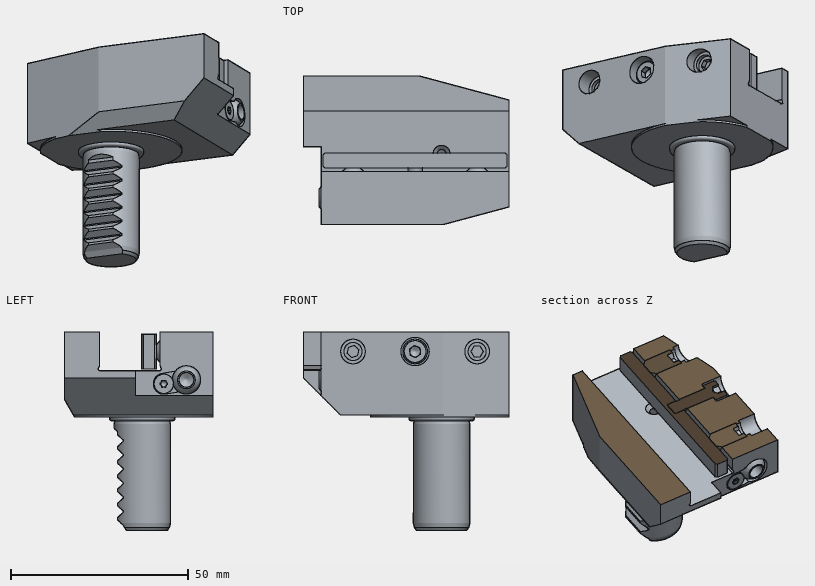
import cadquery as cq
import math


X_MIN = -39.0
X_MAX = 19.0
Y_MIN = -20.0
Y_MAX = 22.0
TOP_Z = 24.0
STEP_X = -34.0
STEP_Y = 2.0
TAPER_ANGLE = 15
TAPER_START_MIN_Y = 0.45
TAPER_START_MAX_Y = -6.3
SEAT_RADIUS = 20.0
SEAT_HEIGHT = 0.6
NOSE_CHAMFER_Z = 11.0
SIDE_CHAMFER_HEIGHT = 5.0
SIDE_CHAMFER_ANGLE = 30

SLOT_MIN_Y = -5.0
SLOT_MAX_Y = 12.0
FLOOR_Z = 13.1
UNDERCUT_DEPTH = 0.45
UNDERCUT_APEX_RISE = 0.35
UNDERCUT_TOP_RISE = 1.4
COOLANT_SINK_RADIUS = 2.4
COOLANT_HOLE_RADIUS = 1.2
COOLANT_HOLE_DEPTH = 3.5

SHANK_RADIUS = 8.0
SHANK_LENGTH = 32.0
NECK_RADIUS = 7.8
NECK_END_Z = -2.05
LEAD_TOP_Z = -29.9
LEAD_BOTTOM_Z = -31.15
LEAD_RADIUS = 7.7
TIP_RADIUS = 7.1
RACK_START_Z = -4.05
RACK_FLAT_Y = 7.0
VALLEY_Y = 5.4
FIRST_VALLEY_Z = -6.65
TOOTH_PITCH = 4.0
VALLEY_COUNT = 7
VALLEY_HALF_MOUTH = 1.7
VALLEY_HALF_ROOT = 0.2
RACK_END_Y = 4.45
RACK_CUT_MARGIN = 0.6

SEAL_RADIUS = 9.2
SEAL_HEIGHT = 1.05
SEAL_ROUNDING = 0.6

BAR_END_GAP = 0.5
BAR_THICKNESS = 4.2
BAR_GAP = 1.0
BAR_HEIGHT = 9.9
BAR_FLOOR_GAP = 0.4
BAR_EDGE_CHAMFER = 0.5
BAR_BACK_Y = SLOT_MIN_Y + BAR_GAP

SCREW_Z = 18.5
CAP_SCREW_X = -7.5
SET_SCREW_SPACING = 17.5
HEX_FLATS = 3.0
SET_SCREW_XS = (CAP_SCREW_X - SET_SCREW_SPACING, CAP_SCREW_X + SET_SCREW_SPACING)
SET_SCREW_HEX_TURNS = (17, 0)
SET_SCREW_RADIUS = 3.0
SET_SCREW_LENGTH = 9.5
SET_SCREW_POINT_RADIUS = 2.05
SET_SCREW_SOCKET_DEPTH = 1.75
SET_BORE_RADIUS = 3.5
SET_BORE_FLOOR_Y = -14.75
SET_ENTRY_RADIUS = 2.55
CAP_HEAD_RADIUS = 3.5
CAP_HEAD_HEIGHT = 4.0
CAP_HEAD_CHAMFER = 0.4
CAP_HEAD_Y = -17.75
CAP_SHAFT_RADIUS = 2.05
CAP_SHAFT_IN_BAR = 2.9
CAP_BORE_RADIUS = 4.0
CAP_SOCKET_DEPTH = 2.0
CAP_HEX_TURN = 36

BALL_RADIUS = 4.0
BALL_Y = -12.45
BALL_Z = 10.5
BALL_FLAT_RADIUS = 2.5
BALL_PROTRUSION = 0.65
BALL_BORE_RADIUS = 2.1
BALL_BORE_DEPTH = 3.5
BALL_FLAT_X = STEP_X - BALL_PROTRUSION
BALL_X = BALL_FLAT_X + math.sqrt(BALL_RADIUS**2 - BALL_FLAT_RADIUS**2)
RETAINER_Y = -6.1
RETAINER_Z = 9.4
RETAINER_HEAD_RADIUS = 2.7
RETAINER_RIM_HEIGHT = 0.5
RETAINER_SHAFT_RADIUS = 1.5
RETAINER_SHAFT_LENGTH = 5.0
RETAINER_HEAD_HEIGHT = RETAINER_RIM_HEIGHT + RETAINER_HEAD_RADIUS - RETAINER_SHAFT_RADIUS
RECESS_RADIUS = 2.95
STAR_CORE_RADIUS = 0.85
STAR_LOBE_RADIUS = 0.25
STAR_LOBES = 6
STAR_DEPTH = 1.15

DRILL_POINT_ANGLE = 118


def cylinder(start, direction, radius, length):
    return cq.Workplane(cq.Solid.makeCylinder(radius, length, cq.Vector(*start), cq.Vector(*direction)))


def cone(start, direction, start_radius, end_radius, length):
    return cq.Workplane(
        cq.Solid.makeCone(start_radius, end_radius, length, cq.Vector(*start), cq.Vector(*direction))
    )


def drilled_hole(start, direction, radius, depth):
    """Round hole of the given full-width depth that ends in a drill point."""
    end = cq.Vector(*start) + cq.Vector(*direction) * depth
    point_length = radius / math.tan(math.radians(DRILL_POINT_ANGLE / 2))
    point = cone(end.toTuple(), direction, radius, 0, point_length)
    return cylinder(start, direction, radius, depth).union(point)


def extrude_along_x(points):
    """Prism over the whole length of the housing, from an outline of (y, z) points."""
    return cq.Workplane("YZ", origin=(X_MIN, 0, 0)).polyline(points).close().extrude(X_MAX - X_MIN)


def hex_socket(x, face_y, depth, turn):
    """Hexagonal socket sunk along +Y; at zero turn two of its corners lie along X."""
    corner_diameter = HEX_FLATS / math.cos(math.radians(30))
    hexagon = cq.Workplane("XZ", origin=(x, face_y, SCREW_Z)).polygon(6, corner_diameter).extrude(-depth)
    return hexagon.rotate((x, 0, SCREW_Z), (x, 1, SCREW_Z), -turn)


def make_block():
    slope = math.tan(math.radians(TAPER_ANGLE))
    outline = [
        (X_MIN, Y_MAX),
        (TAPER_START_MAX_Y, Y_MAX),
        (X_MAX, Y_MAX - slope * (X_MAX - TAPER_START_MAX_Y)),
        (X_MAX, Y_MIN + slope * (X_MAX - TAPER_START_MIN_Y)),
        (TAPER_START_MIN_Y, Y_MIN),
        (STEP_X, Y_MIN),
        (STEP_X, STEP_Y),
        (X_MIN, STEP_Y),
    ]
    upper = (
        cq.Workplane("XY", origin=(0, 0, SEAT_HEIGHT))
        .polyline(outline)
        .close()
        .extrude(TOP_Z - SEAT_HEIGHT)
    )
    seat = cq.Workplane("XY").polyline(outline).close().extrude(SEAT_HEIGHT)
    seat = seat.intersect(cylinder((0, 0, 0), (0, 0, 1), SEAT_RADIUS, SEAT_HEIGHT))
    block = upper.union(seat)

    nose_run = NOSE_CHAMFER_Z - SEAT_HEIGHT
    nose_chamfer = (
        cq.Workplane("XZ", origin=(0, Y_MAX, 0))
        .polyline([(X_MIN, NOSE_CHAMFER_Z), (X_MIN, SEAT_HEIGHT), (X_MIN + nose_run, SEAT_HEIGHT)])
        .close()
        .extrude(Y_MAX - Y_MIN)
    )
    side_run = SIDE_CHAMFER_HEIGHT * math.tan(math.radians(SIDE_CHAMFER_ANGLE))
    side_chamfer = extrude_along_x([(Y_MAX, SIDE_CHAMFER_HEIGHT), (Y_MAX, 0), (Y_MAX - side_run, 0)])
    return block.cut(nose_chamfer).cut(side_chamfer)


def make_tool_slot():
    apex_z = FLOOR_Z + UNDERCUT_APEX_RISE
    undercut_z = FLOOR_Z + UNDERCUT_TOP_RISE
    channel = extrude_along_x([
        (SLOT_MIN_Y, TOP_Z),
        (SLOT_MIN_Y, undercut_z),
        (SLOT_MIN_Y - UNDERCUT_DEPTH, apex_z),
        (SLOT_MIN_Y, FLOOR_Z),
        (SLOT_MAX_Y, FLOOR_Z),
        (SLOT_MAX_Y + UNDERCUT_DEPTH, apex_z),
        (SLOT_MAX_Y, undercut_z),
        (SLOT_MAX_Y, TOP_Z),
    ])
    down = (0, 0, -1)
    floor_center = (0, 0, FLOOR_Z)
    sink_depth = COOLANT_SINK_RADIUS - COOLANT_HOLE_RADIUS
    sink = cone(floor_center, down, COOLANT_SINK_RADIUS, COOLANT_HOLE_RADIUS, sink_depth)
    hole = drilled_hole(floor_center, down, COOLANT_HOLE_RADIUS, COOLANT_HOLE_DEPTH)
    return channel.union(sink).union(hole)


def make_shank():
    half_profile = [
        (0, 0),
        (NECK_RADIUS, 0),
        (NECK_RADIUS, -SEAL_HEIGHT),
        (SHANK_RADIUS, NECK_END_Z),
        (SHANK_RADIUS, LEAD_TOP_Z),
        (LEAD_RADIUS, LEAD_BOTTOM_Z),
        (TIP_RADIUS, -SHANK_LENGTH),
        (0, -SHANK_LENGTH),
    ]
    shank = cq.Workplane("XZ").polyline(half_profile).close().revolve(360, (0, 0), (0, 1))
    return shank.cut(make_rack_cut())


def make_rack_cut():
    """Everything removed from the +Y side of the shank to leave its row of teeth."""
    outside_y = SHANK_RADIUS + RACK_CUT_MARGIN
    points = [
        (outside_y, RACK_START_Z + outside_y - RACK_FLAT_Y),
        (RACK_FLAT_Y, RACK_START_Z),
    ]
    for valley in range(VALLEY_COUNT):
        z = FIRST_VALLEY_Z - valley * TOOTH_PITCH
        points += [(RACK_FLAT_Y, z + VALLEY_HALF_MOUTH), (VALLEY_Y, z + VALLEY_HALF_ROOT)]
        if valley < VALLEY_COUNT - 1:
            points += [(VALLEY_Y, z - VALLEY_HALF_ROOT), (RACK_FLAT_Y, z - VALLEY_HALF_MOUTH)]
    points += [(RACK_END_Y, -SHANK_LENGTH), (outside_y, -SHANK_LENGTH)]
    width = 2 * SHANK_RADIUS
    return cq.Workplane("YZ", origin=(-SHANK_RADIUS, 0, 0)).polyline(points).close().extrude(width)


def make_bar_screw_holes():
    """Counterbored holes through the -Y wall for the cap screw and the set screws."""
    inward = (0, 1, 0)
    cap_seat_y = CAP_HEAD_Y + CAP_HEAD_HEIGHT
    cap_start = (CAP_SCREW_X, Y_MIN, SCREW_Z)
    holes = cylinder(cap_start, inward, CAP_BORE_RADIUS, cap_seat_y - Y_MIN)
    holes = holes.union(cylinder(cap_start, inward, CAP_SHAFT_RADIUS, SLOT_MIN_Y - Y_MIN))
    for x in SET_SCREW_XS:
        start = (x, Y_MIN, SCREW_Z)
        holes = holes.union(cylinder(start, inward, SET_BORE_RADIUS, SET_BORE_FLOOR_Y - Y_MIN))
        holes = holes.union(cylinder(start, inward, SET_ENTRY_RADIUS, SLOT_MIN_Y - Y_MIN))
    return holes


def make_ball_recess():
    """Shallow round-ended recess on the step face, plus the ball socket and the retainer hole."""
    inward = (1, 0, 0)
    dy = BALL_Y - RETAINER_Y
    dz = BALL_Z - RETAINER_Z
    distance = math.hypot(dy, dz)
    recess = (
        cq.Workplane("YZ", origin=(STEP_X, RETAINER_Y + dy / 2, RETAINER_Z + dz / 2))
        .transformed(rotate=(0, 0, math.degrees(math.atan2(dz, dy))))
        .slot2D(distance + 2 * RECESS_RADIUS, 2 * RECESS_RADIUS)
        .extrude(RETAINER_HEAD_HEIGHT)
    )
    socket_mouth = cylinder((STEP_X, BALL_Y, BALL_Z), inward, BALL_RADIUS, BALL_X - STEP_X)
    retainer_hole = cylinder(
        (STEP_X, RETAINER_Y, RETAINER_Z),
        inward,
        RETAINER_SHAFT_RADIUS,
        RETAINER_HEAD_HEIGHT + RETAINER_SHAFT_LENGTH,
    )
    return recess.union(socket_mouth).union(flattened_ball()).union(retainer_hole)


def make_housing():
    housing = make_block().cut(make_tool_slot()).union(make_shank())
    housing = housing.cut(make_bar_screw_holes()).cut(make_ball_recess())
    for x in SET_SCREW_XS:
        housing = housing.cut(set_screw_body(x))
    return housing


def make_seal_ring():
    ring = cylinder((0, 0, -SEAL_HEIGHT), (0, 0, 1), SEAL_RADIUS, SEAL_HEIGHT)
    ring = ring.faces("<Z").edges().fillet(SEAL_ROUNDING)
    return ring.cut(cylinder((0, 0, -SEAL_HEIGHT), (0, 0, 1), NECK_RADIUS, SEAL_HEIGHT))


def make_clamp_bar():
    length = X_MAX - STEP_X - 2 * BAR_END_GAP
    bar = (
        cq.Workplane("XY")
        .box(length, BAR_THICKNESS, BAR_HEIGHT, centered=False)
        .edges("|Z")
        .chamfer(BAR_EDGE_CHAMFER)
        .translate((STEP_X + BAR_END_GAP, BAR_BACK_Y, FLOOR_Z + BAR_FLOOR_GAP))
    )
    screw_start = (CAP_SCREW_X, BAR_BACK_Y, SCREW_Z)
    return bar.cut(cylinder(screw_start, (0, 1, 0), CAP_SHAFT_RADIUS, CAP_SHAFT_IN_BAR))


def set_screw_body(x):
    """Cylinder with a 45 degree conical point that rests on the back of the clamp bar."""
    point_length = SET_SCREW_RADIUS - SET_SCREW_POINT_RADIUS
    barrel_length = SET_SCREW_LENGTH - point_length
    back_y = BAR_BACK_Y - SET_SCREW_LENGTH
    inward = (0, 1, 0)
    barrel = cylinder((x, back_y, SCREW_Z), inward, SET_SCREW_RADIUS, barrel_length)
    point_start = (x, back_y + barrel_length, SCREW_Z)
    point = cone(point_start, inward, SET_SCREW_RADIUS, SET_SCREW_POINT_RADIUS, point_length)
    return barrel.union(point)


def make_set_screw(x, hex_turn):
    back_y = BAR_BACK_Y - SET_SCREW_LENGTH
    return set_screw_body(x).cut(hex_socket(x, back_y, SET_SCREW_SOCKET_DEPTH, hex_turn))


def make_cap_screw():
    inward = (0, 1, 0)
    head_start = (CAP_SCREW_X, CAP_HEAD_Y, SCREW_Z)
    shaft_length = BAR_BACK_Y + CAP_SHAFT_IN_BAR - CAP_HEAD_Y
    head = cylinder(head_start, inward, CAP_HEAD_RADIUS, CAP_HEAD_HEIGHT)
    head = head.faces("<Y").edges().chamfer(CAP_HEAD_CHAMFER)
    screw = head.union(cylinder(head_start, inward, CAP_SHAFT_RADIUS, shaft_length))
    screw = screw.cut(hex_socket(CAP_SCREW_X, CAP_HEAD_Y, CAP_SOCKET_DEPTH, CAP_HEX_TURN))
    return screw.cut(drilled_hole(head_start, inward, HEX_FLATS / 2, CAP_SOCKET_DEPTH))


def flattened_ball():
    """Sphere with a flat facing -X, turned about the X axis."""
    half_outline = (
        cq.Workplane("XY", origin=(BALL_X, BALL_Y, BALL_Z))
        .moveTo(BALL_FLAT_X - BALL_X, 0)
        .lineTo(BALL_FLAT_X - BALL_X, BALL_FLAT_RADIUS)
        .threePointArc((0, BALL_RADIUS), (BALL_RADIUS, 0))
        .close()
    )
    return half_outline.revolve(360, (0, 0), (1, 0))


def make_coolant_ball():
    flat_center = (BALL_FLAT_X, BALL_Y, BALL_Z)
    return flattened_ball().cut(drilled_hole(flat_center, (1, 0, 0), BALL_BORE_RADIUS, BALL_BORE_DEPTH))


def make_retainer_screw():
    inward = (1, 0, 0)
    start = (STEP_X, RETAINER_Y, RETAINER_Z)
    cone_start = (STEP_X + RETAINER_RIM_HEIGHT, RETAINER_Y, RETAINER_Z)
    cone_length = RETAINER_HEAD_HEIGHT - RETAINER_RIM_HEIGHT
    screw = cylinder(start, inward, RETAINER_HEAD_RADIUS, RETAINER_RIM_HEIGHT)
    screw = screw.union(cone(cone_start, inward, RETAINER_HEAD_RADIUS, RETAINER_SHAFT_RADIUS, cone_length))
    screw = screw.union(
        cylinder(start, inward, RETAINER_SHAFT_RADIUS, RETAINER_HEAD_HEIGHT + RETAINER_SHAFT_LENGTH)
    )
    screw = screw.cut(drilled_hole(start, inward, STAR_CORE_RADIUS, STAR_DEPTH))
    for lobe in range(STAR_LOBES):
        angle = 2 * math.pi * lobe / STAR_LOBES
        y = RETAINER_Y + STAR_CORE_RADIUS * math.cos(angle)
        z = RETAINER_Z + STAR_CORE_RADIUS * math.sin(angle)
        screw = screw.cut(cylinder((STEP_X, y, z), inward, STAR_LOBE_RADIUS, STAR_DEPTH))
    return screw


housing = make_housing()
seal_ring = make_seal_ring()
clamp_bar = make_clamp_bar()
set_screws = [make_set_screw(x, turn) for x, turn in zip(SET_SCREW_XS, SET_SCREW_HEX_TURNS)]
cap_screw = make_cap_screw()
coolant_ball = make_coolant_ball()
retainer_screw = make_retainer_screw()

result = cq.Compound.makeCompound([
    housing.val(),
    seal_ring.val(),
    clamp_bar.val(),
    *[screw.val() for screw in set_screws],
    cap_screw.val(),
    coolant_ball.val(),
    retainer_screw.val(),
])